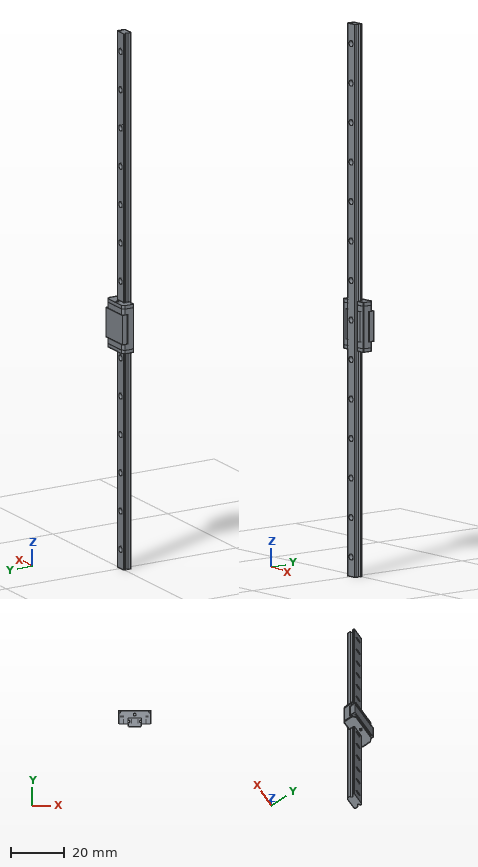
import cadquery as cq

ASSEMBLY_DEPTH = 6.0
BASE_Y = -ASSEMBLY_DEPTH / 2
MOUNTING_Y = ASSEMBLY_DEPTH / 2

RAIL_LENGTH = 210
RAIL_WIDTH = 5.0
RAIL_HEIGHT = 3.4
RAIL_TOP_Y = BASE_Y + RAIL_HEIGHT
RAIL_BASE_CHAMFER = 0.5
RAIL_TOP_CHAMFER = 0.2
HOLE_COUNT = 14
HOLE_PITCH = RAIL_LENGTH / HOLE_COUNT
HOLE_DIAMETER = 2.3

GROOVE_DIAMETER = 1.0
GROOVE_HEIGHT = 2.02
GROOVE_Y = BASE_Y + GROOVE_HEIGHT
GROOVE_INSET = 0.2
GROOVE_X = RAIL_WIDTH / 2 - GROOVE_INSET

CARRIAGE_WIDTH = 12.0
CARRIAGE_LENGTH = 19.0
CARRIAGE_Z = -9.7
CARRIAGE_BOTTOM_Y = BASE_Y + 1.0

BLOCK_LENGTH = 11.5
FOOT_WIDTH = 8.5
HEAD_HEIGHT = 2.0
HEAD_BOTTOM_Y = MOUNTING_Y - HEAD_HEIGHT

COVER_TOP_Y = MOUNTING_Y - 0.2
COVER_TOP_CHAMFER = 1.0
COVER_BOTTOM_CHAMFER = 0.27
SKIRT_GAP = 0.5
SKIRT_TOP_Y = HEAD_BOTTOM_Y - SKIRT_GAP
SEAL_THICKNESS = 1.36
FRAME_LENGTH = CARRIAGE_LENGTH - 2 * SEAL_THICKNESS
LUBE_HOLE_DIAMETER = 1.0
LUBE_HOLE_Y = (RAIL_TOP_Y + COVER_TOP_Y) / 2


def slab(width, bottom_y, top_y, length, center_z):
    """Box centred on X = 0 and on center_z, from bottom_y to top_y."""
    center = (0, (bottom_y + top_y) / 2, center_z)
    return cq.Workplane("XY").box(width, top_y - bottom_y, length).translate(center)


def rail_body():
    """Rail bar with chamfered long edges."""
    body = slab(RAIL_WIDTH, BASE_Y, RAIL_TOP_Y, RAIL_LENGTH, 0)
    body = body.edges("|Z and <Y").chamfer(RAIL_BASE_CHAMFER)
    return body.edges("|Z and >Y").chamfer(RAIL_TOP_CHAMFER)


def ball_grooves():
    """Round bars that cut the two grooves over the full rail length."""
    return (
        cq.Workplane("XY", origin=(0, 0, -RAIL_LENGTH / 2))
        .pushPoints([(-GROOVE_X, GROOVE_Y), (GROOVE_X, GROOVE_Y)])
        .circle(GROOVE_DIAMETER / 2)
        .extrude(RAIL_LENGTH)
    )


def rail_holes():
    """Row of evenly spaced screw holes through the rail along Y."""
    return (
        cq.Workplane("XZ", origin=(0, RAIL_TOP_Y, 0))
        .rarray(2, HOLE_PITCH, 1, HOLE_COUNT)
        .circle(HOLE_DIAMETER / 2)
        .extrude(RAIL_HEIGHT)
    )


def make_rail():
    return rail_body().cut(ball_grooves()).cut(rail_holes())


def make_block():
    head = slab(CARRIAGE_WIDTH, HEAD_BOTTOM_Y, MOUNTING_Y, BLOCK_LENGTH, CARRIAGE_Z)
    foot = slab(FOOT_WIDTH, CARRIAGE_BOTTOM_Y, HEAD_BOTTOM_Y, BLOCK_LENGTH, CARRIAGE_Z)
    return head.union(foot).cut(rail_body())


def cover(length, center_z):
    """Cross-section shared by the frame and the seals, fitted over the rail."""
    body = slab(CARRIAGE_WIDTH, CARRIAGE_BOTTOM_Y, COVER_TOP_Y, length, center_z)
    body = body.edges("|Z and >Y").chamfer(COVER_TOP_CHAMFER)
    body = body.edges("|Z and <Y").chamfer(COVER_BOTTOM_CHAMFER)
    return body.cut(rail_body())


def make_frame():
    """Both end caps, joined by a skirt along each side of the block foot."""
    head_room = slab(CARRIAGE_WIDTH, SKIRT_TOP_Y, MOUNTING_Y, BLOCK_LENGTH, CARRIAGE_Z)
    foot_room = slab(FOOT_WIDTH, CARRIAGE_BOTTOM_Y, SKIRT_TOP_Y, BLOCK_LENGTH, CARRIAGE_Z)
    return cover(FRAME_LENGTH, CARRIAGE_Z).cut(head_room).cut(foot_room)


def make_seal(side):
    """End seal with a lubrication hole; side is +1 for the +Z end and -1 for the -Z end."""
    center_z = CARRIAGE_Z + side * (FRAME_LENGTH + SEAL_THICKNESS) / 2
    lube_hole = (
        cq.Workplane("XY", origin=(0, LUBE_HOLE_Y, center_z))
        .circle(LUBE_HOLE_DIAMETER / 2)
        .extrude(SEAL_THICKNESS, both=True)
    )
    return cover(SEAL_THICKNESS, center_z).cut(lube_hole)


rail = make_rail()
block = make_block()
frame = make_frame()
seals = [make_seal(side) for side in (-1, 1)]

result = cq.Compound.makeCompound(
    [rail.val(), block.val(), frame.val(), *[seal.val() for seal in seals]]
)